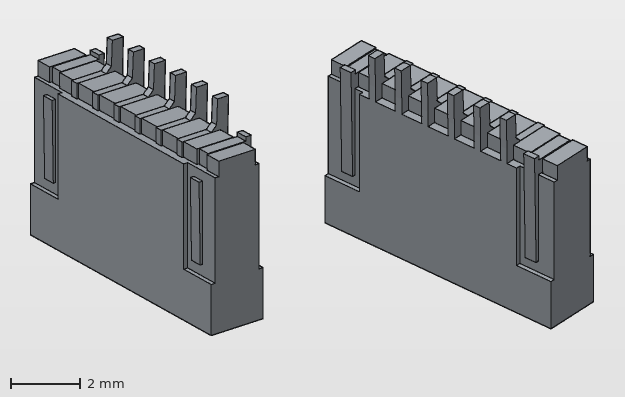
import cadquery as cq


length = 8.6
depth = 1.89
shell_height = 5.0

block_front = 0.275
block_back = 1.61
block_height = 5.495

recess_length = 1.31
recess_depth = 0.15
recess_bottom = 1.63

pin_count = 6
pin_pitch = 1.0
pin_width = 0.25
pin_front = 0.22
pin_back = 1.89
pin_tip_back = 1.92
pin_tip_front = 1.51
pin_bend_front = 1.48
pin_bend_start = 1.29
pin_bend_height = 5.685
pin_top = 6.5
pin_clearance = 0.01

tab_offset = 3.49
tab_width = 0.41
tab_front = 0.34
tab_step = 1.72
tab_back = 1.92
tab_top = 5.63
tab_slot_inner = 3.26
tab_slot_outer = 3.74
rib_bottom = 2.01
rib_top = 4.67
rib_front_top = 0.02
rib_front_bottom = 0.06
rib_back_bottom = 1.85


def box(x_min, x_max, y_min, y_max, z_min, z_max):
    """Box given by its limits along the three axes."""
    size = (x_max - x_min, y_max - y_min, z_max - z_min)
    return cq.Workplane("XY").box(*size, centered=False).translate((x_min, y_min, z_min))


def side_profile(points, x_centre, width):
    """Extrude a (Y, Z) outline along X, centred on x_centre."""
    outline = cq.Workplane("YZ", origin=(x_centre - width / 2, 0, 0)).polyline(points).close()
    return outline.extrude(width)


def make_housing():
    half = length / 2
    shell = box(-half, half, 0, depth, 0, shell_height)
    block = box(-half, half, block_front, block_back, shell_height, block_height)
    return shell.union(block)


def make_recesses(side):
    """Front and back corner recesses at one end; side is -1 or 1."""
    outer = side * length / 2
    inner = outer - side * recess_length
    x_min, x_max = sorted((outer, inner))
    front = box(x_min, x_max, 0, recess_depth, recess_bottom, shell_height)
    back = box(x_min, x_max, depth - recess_depth, depth, recess_bottom, shell_height)
    return front.union(back)


def make_block_slot(x_min, x_max):
    """Slot through the raised block, front to back."""
    return box(x_min, x_max, block_front, block_back, shell_height, block_height)


def make_pin(x_centre):
    """Pin lying flush in its slot, then bent upward with a slight backward lean."""
    points = [
        (pin_front, shell_height),
        (pin_front, block_height),
        (pin_bend_start, block_height),
        (pin_bend_front, pin_bend_height),
        (pin_tip_front, pin_top),
        (pin_tip_back, pin_top),
        (pin_back, block_height),
        (pin_back, shell_height),
    ]
    return side_profile(points, x_centre, pin_width)


def make_tab(x_centre):
    """Stepped tab over the block with its leg running down the back recess."""
    points = [
        (tab_front, shell_height),
        (tab_front, block_height),
        (tab_step, block_height),
        (tab_step, tab_top),
        (tab_back, tab_top),
        (rib_back_bottom, rib_bottom),
        (depth - recess_depth, rib_bottom),
        (depth - recess_depth, shell_height),
    ]
    return side_profile(points, x_centre, tab_width)


def make_front_rib(x_centre):
    """Tapered rib standing in the front recess."""
    points = [
        (recess_depth, rib_bottom),
        (rib_front_bottom, rib_bottom),
        (rib_front_top, rib_top),
        (recess_depth, rib_top),
    ]
    return side_profile(points, x_centre, tab_width)


result = make_housing()

for end in (-1, 1):
    slot_min, slot_max = sorted((end * tab_slot_inner, end * tab_slot_outer))
    result = result.cut(make_recesses(end))
    result = result.cut(make_block_slot(slot_min, slot_max))
    result = result.union(make_tab(end * tab_offset))
    result = result.union(make_front_rib(end * tab_offset))

for index in range(pin_count):
    pin_x = (index - (pin_count - 1) / 2) * pin_pitch
    slot_half = pin_width / 2 + pin_clearance
    result = result.cut(make_block_slot(pin_x - slot_half, pin_x + slot_half))
    result = result.union(make_pin(pin_x))